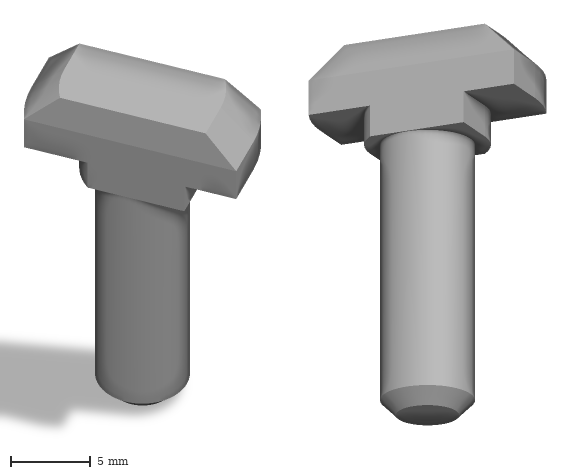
import cadquery as cq

head_length = 15.0
width = 6.2
neck_length = 8.0
shank_diameter = 6.0
shank_length = 18.0
tip_chamfer = 1.0
neck_height = 2.05
head_straight_height = 2.3
bevel_height = 2.15
bevel_end_inset = 2.22
bevel_side_inset = 0.4

head_bottom = neck_height
bevel_bottom = head_bottom + head_straight_height
bevel_top = bevel_bottom + bevel_height
half_width = width / 2
end_radius = head_length / 2
top_radius = end_radius - bevel_end_inset
top_half_width = half_width - bevel_side_inset


def between_flats(height):
    """Block with the width of the flats, long enough to cover the head."""
    return cq.Workplane("XY").box(head_length, width, height, centered=(True, True, False))


def half_turn_pair(body):
    """Body joined with its copy turned 180 degrees about the bolt axis."""
    return body.union(body.rotate((0, 0, 0), (0, 0, 1), 180))


def turning_bar(length, bottom, height):
    """Bar with two square corners and two corners rounded about the bolt axis."""
    radius = length / 2
    disc = cq.Workplane("XY").circle(radius).extrude(height)
    square_corner = cq.Workplane("XY").rect(-radius, half_width, centered=False).extrude(height)
    bar = disc.intersect(between_flats(height)).union(half_turn_pair(square_corner))
    return bar.translate((0, 0, bottom))


def head_bevel():
    """Tapered top of the head: conical at the round corners, flat elsewhere."""
    end_profile = [
        (0, bevel_bottom),
        (-end_radius, bevel_bottom),
        (-top_radius, bevel_top),
        (0, bevel_top),
    ]
    cone = cq.Workplane("XZ").polyline(end_profile).close().revolve(360, (0, 0, 0), (0, 1, 0))
    square_corner = cq.Workplane("XZ").polyline(end_profile).close().extrude(-half_width)
    side_profile = [
        (-half_width, bevel_bottom),
        (half_width, bevel_bottom),
        (top_half_width, bevel_top),
        (-top_half_width, bevel_top),
    ]
    sides = cq.Workplane("YZ").polyline(side_profile).close().extrude(end_radius, both=True)
    return cone.union(half_turn_pair(square_corner)).intersect(sides)


def shank():
    """Round shank below the neck with a chamfered tip."""
    rod = cq.Workplane("XY").circle(shank_diameter / 2).extrude(-shank_length)
    return rod.faces("<Z").chamfer(tip_chamfer)


neck = turning_bar(neck_length, 0, neck_height)
head = turning_bar(head_length, head_bottom, head_straight_height)
result = shank().union(neck).union(head).union(head_bevel()).clean()